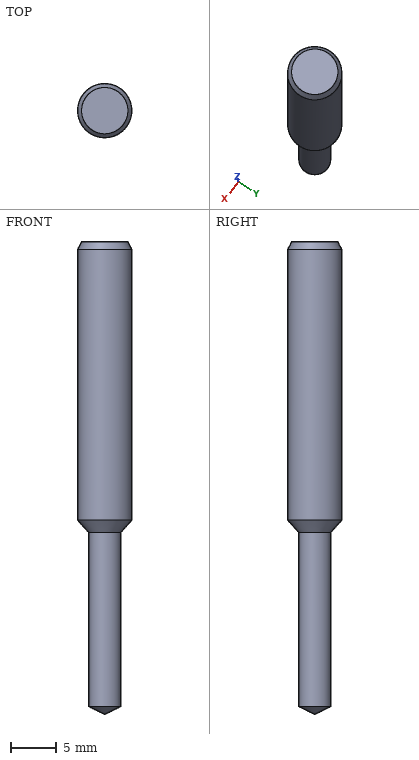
import cadquery as cq

TOTAL_LENGTH = 52.0

SHANK_DIAMETER = 6.0
SHANK_TOP_DIAMETER = 5.1
SHANK_BEVEL_HEIGHT = 0.85
SHOULDER_HEIGHT = 1.35
SHANK_LENGTH = 32.0

CUTTER_DIAMETER = 3.55
POINT_HEIGHT = 0.9

shank_radius = SHANK_DIAMETER / 2
cutter_radius = CUTTER_DIAMETER / 2
shank_bottom = TOTAL_LENGTH - SHANK_LENGTH


def revolve_profile(points):
    """Revolve a closed (radius, height) profile about the Z axis."""
    profile = cq.Workplane("XZ").polyline(points).close()
    return profile.revolve(360, (0, 0, 0), (0, 1, 0))


def make_shank():
    """Cylindrical shank standing on the flat top of the cutter."""
    return revolve_profile([
        (0, shank_bottom),
        (cutter_radius, shank_bottom),
        (shank_radius, shank_bottom + SHOULDER_HEIGHT),
        (shank_radius, TOTAL_LENGTH - SHANK_BEVEL_HEIGHT),
        (SHANK_TOP_DIAMETER / 2, TOTAL_LENGTH),
        (0, TOTAL_LENGTH),
    ])


def make_cutter():
    """Round cutter with its point at the origin."""
    return revolve_profile([
        (0, 0),
        (cutter_radius, POINT_HEIGHT),
        (cutter_radius, shank_bottom),
        (0, shank_bottom),
    ])


shank = make_shank()
cutter = make_cutter()

result = cq.Compound.makeCompound([shank.val(), cutter.val()])